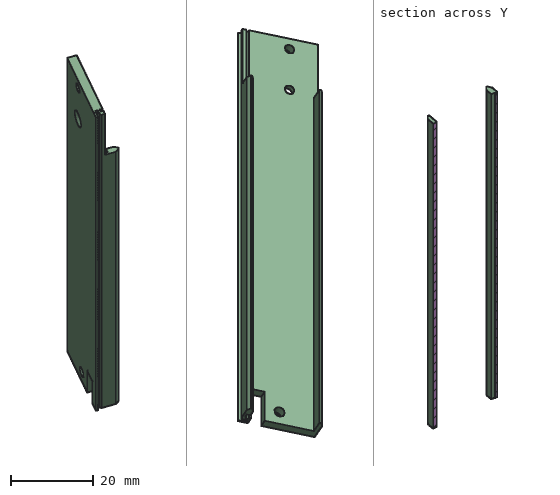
import cadquery as cq

width = 20.0
depth = 6.3
length = 112.8

plate_thickness = 2.5
wall_thickness = 1.1
wall_bevel_height = 1.0
wall_bevel_width = 0.7
wall_top_gap = 15.8
bevel_start = depth - wall_bevel_height

lip_thickness = 0.6
lip_overhang = 0.3
clip_outer_x = width - lip_overhang
clip_thickness = 0.7
clip_inner_x = clip_outer_x - clip_thickness
clip_corner_bevel = 0.3
web_bottom = 1.2
web_top = 1.8
plate_end_x = 17.9
groove_width = 0.7
hook_inner_x = 17.9
hook_bottom = 3.4
hook_tip_width = 0.3
hook_tip_x = clip_outer_x - wall_bevel_width

notch_left = 13.9
notch_width = 3.5
notch_height = 8.5

upper_hole_x = 7.5
pin_hole_diameter = 2.4
pin_hole_z = length - 3.0
screw_hole_diameter = 2.4
screw_hole_z = length - 14.9
countersink_diameter = 4.4
countersink_angle = 90
lower_hole_x = 10.0
lower_hole_z = 3.5
lower_hole_diameter = 2.6


def make_channel():
    """Constant section: plate, bevelled wall and hooked clip wall."""
    outline = [
        (0, 0),
        (width, 0),
        (width, lip_thickness),
        (plate_end_x, lip_thickness),
        (plate_end_x, web_bottom),
        (clip_outer_x - clip_corner_bevel, web_bottom),
        (clip_outer_x, web_bottom + clip_corner_bevel),
        (clip_outer_x, bevel_start),
        (hook_tip_x, depth),
        (hook_tip_x - hook_tip_width, depth),
        (hook_inner_x, bevel_start),
        (hook_inner_x, hook_bottom),
        (clip_inner_x, hook_bottom),
        (clip_inner_x, plate_thickness),
        (plate_end_x + groove_width, plate_thickness),
        (plate_end_x + groove_width, web_top),
        (plate_end_x, web_top),
        (plate_end_x, plate_thickness),
        (wall_thickness, plate_thickness),
        (wall_thickness, depth),
        (wall_bevel_width, depth),
        (0, bevel_start),
    ]
    return cq.Workplane("XY").polyline(outline).close().extrude(length)


def corner_box(x_size, y_size, z_size, corner):
    return cq.Workplane("XY").box(x_size, y_size, z_size, centered=False).translate(corner)


def front_face_at(body, x, z):
    """Workplane on the flat front face, facing -Y, centred on (x, z)."""
    return body.copyWorkplane(cq.Workplane("XZ", origin=(x, 0, z)))


wall_relief = corner_box(
    width, depth - plate_thickness, wall_top_gap, (0, plate_thickness, length - wall_top_gap)
)
notch = corner_box(notch_width, plate_thickness, notch_height, (notch_left, 0, 0))
result = make_channel().cut(wall_relief).cut(notch)

result = front_face_at(result, upper_hole_x, pin_hole_z).hole(pin_hole_diameter, plate_thickness)
result = front_face_at(result, lower_hole_x, lower_hole_z).hole(lower_hole_diameter, plate_thickness)
result = front_face_at(result, upper_hole_x, screw_hole_z).cskHole(
    screw_hole_diameter, countersink_diameter, countersink_angle, plate_thickness
)